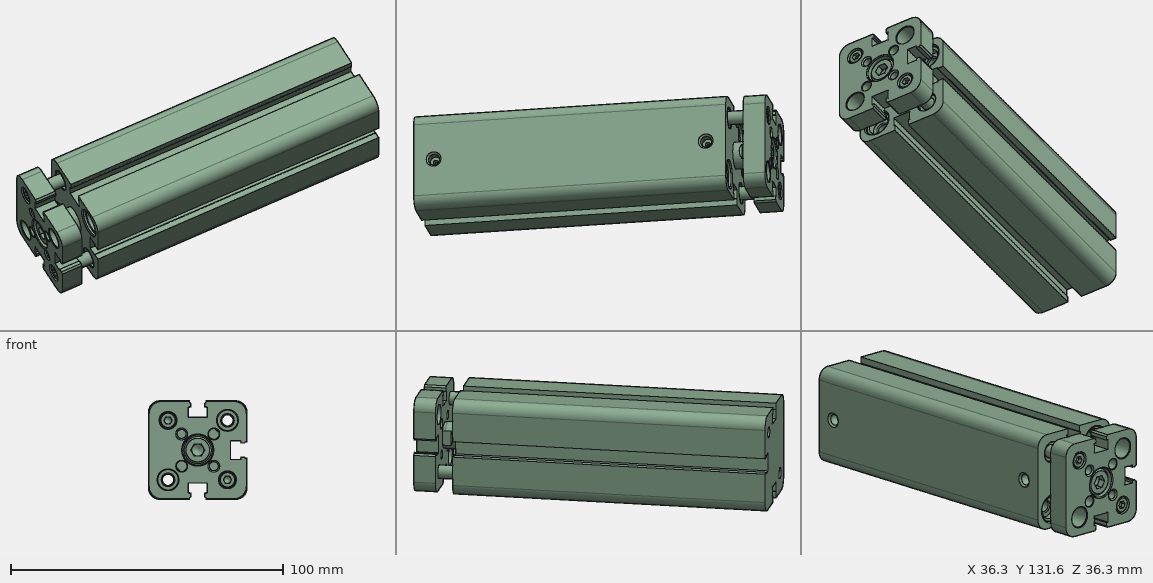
import cadquery as cq


total_length = 131.6
plate_thickness = 8.2
body_front = 14.6

body_width = 36.3
plate_width = 35.7
corner_radius = 4.3

slot_floor = 12.1
slot_inner_width = 6.8
body_mouth_width = 5.9
body_lip_depth = 2.5
plate_mouth_width = 5.1
plate_lip_depth = 2.0
plate_mouth_chamfer = 0.7
slot_angles = (0, 90, 180)

corner_offset = 10.9
rod_corners = ((-corner_offset, corner_offset), (corner_offset, -corner_offset))
bore_corners = ((corner_offset, corner_offset), (-corner_offset, -corner_offset))
guide_rod_diameter = 5.0
rod_seal_diameter = 7.5
rod_seal_rim_diameter = 8.0
rod_seal_depth = 1.3
plate_screw_recess = 6.6
plate_screw_recess_depth = 3.3
plate_screw_head = 6.0
plate_screw_head_gap = 0.4
plate_screw_chamfer = 0.4
plate_screw_hex = 2.6
plate_screw_hex_depth = 1.6
access_rim_diameter = 8.0
access_hole_diameter = 7.5
mount_rim_diameter = 10.9
mount_bore_diameter = 10.0
mount_bore_depth = 1.3
mount_socket_diameter = 8.0
mount_socket_depth = 4.0
mount_seat_diameter = 5.0
mount_hole_diameter = 4.1

tool_offset = 5.9
tool_rim_diameter = 4.3
pin_hole_diameter = 4.0
thread_hole_diameter = 3.3

centre_rim_diameter = 11.8
centre_recess = 11.0
centre_recess_depth = 5.3
centre_head = 10.0
centre_head_gap = 0.9
centre_head_chamfer = 0.7
centre_hex = 4.5
centre_hex_depth = 2.6
piston_rod_diameter = 10.0
piston_rod_flats = 8.3
piston_rod_end_diameter = 9.7
piston_rod_taper_length = 1.0
flats_length = 3.2

port_inset = 7.5
port_rim_diameter = 5.5
port_diameter = 4.1
port_depth = 4.0
port_channel_diameter = 1.7
port_channel_depth = 6.6


def cylinder(x, z, y_start, length, diameter):
    """Round bar along +Y."""
    start = cq.Vector(x, y_start, z)
    return cq.Workplane(obj=cq.Solid.makeCylinder(diameter / 2, length, start, cq.Vector(0, 1, 0)))


def cone(x, z, y_start, length, start_diameter, end_diameter):
    """Tapered bar along +Y."""
    start = cq.Vector(x, y_start, z)
    along_y = cq.Vector(0, 1, 0)
    solid = cq.Solid.makeCone(start_diameter / 2, end_diameter / 2, length, start, along_y)
    return cq.Workplane(obj=solid)


def countersunk_hole(x, z, y_start, length, diameter, rim_diameter):
    """Cutter for a hole along +Y with a 45 degree chamfer at its rim."""
    rim = (rim_diameter - diameter) / 2
    hole = cylinder(x, z, y_start, length, diameter)
    return hole.union(cone(x, z, y_start, rim, rim_diameter, diameter))


def square_block(width, y_start, length):
    """Square bar along Y with rounded long edges."""
    block = cq.Workplane("XY").box(width, length, width).edges("|Y").fillet(corner_radius)
    return block.translate((0, y_start + length / 2, 0))


def t_slot(width, mouth_width, lip_depth, mouth_chamfer, y_start, length):
    """Cutter for one T-slot in the top side of a square bar."""
    surface = width / 2
    lip = surface - lip_depth
    mouth = mouth_width / 2
    inner = slot_inner_width / 2
    half = [(inner, slot_floor), (inner, lip), (mouth, lip), (mouth, surface - mouth_chamfer)]
    if mouth_chamfer > 0:
        half.append((mouth + mouth_chamfer, surface))
    outline = half + [(-x, z) for x, z in reversed(half)]
    return cq.Workplane("XZ", origin=(0, y_start + length, 0)).polyline(outline).close().extrude(length)


def cut_slots(block, cutter):
    for angle in slot_angles:
        block = block.cut(cutter.rotate((0, 0, 0), (0, 1, 0), angle))
    return block


def socket_screw(x, z, y_face, y_base, head, chamfer, hex_size, hex_depth):
    """Screw head along Y with a chamfered rim and a hexagon socket with a conical bottom."""
    screw = cylinder(x, z, y_face + chamfer, y_base - y_face - chamfer, head)
    screw = screw.union(cone(x, z, y_face, chamfer, head - 2 * chamfer, head))
    hexagon = cq.Workplane("XZ", origin=(x, y_face, z)).transformed(rotate=(0, 0, 90))
    hexagon = hexagon.polygon(6, hex_size, circumscribed=True).extrude(-hex_depth)
    tip_height = hex_size / 4
    tip = cone(x, z, y_face + hex_depth, tip_height, hex_size, 0)
    return screw.cut(hexagon).cut(tip)


def make_body():
    length = total_length - body_front
    body = square_block(body_width, body_front, length)
    body = cut_slots(body, t_slot(body_width, body_mouth_width, body_lip_depth, 0, body_front, length))

    for x, z in bore_corners:
        socket_floor = body_front + mount_socket_depth
        hole_length = total_length - socket_floor
        body = body.cut(
            countersunk_hole(x, z, body_front, mount_bore_depth, mount_bore_diameter, mount_rim_diameter)
        )
        body = body.cut(cylinder(x, z, body_front, mount_socket_depth, mount_socket_diameter))
        body = body.cut(
            countersunk_hole(x, z, socket_floor, hole_length, mount_hole_diameter, mount_seat_diameter)
        )

    for x, z in rod_corners:
        body = body.cut(
            countersunk_hole(x, z, body_front, rod_seal_depth, rod_seal_diameter, rod_seal_rim_diameter)
        )

    for y in (body_front + port_inset, total_length - port_inset):
        body = body.cut(air_port(y))
    return body


def air_port(y):
    """Cutter for one countersunk port entering from the -X side."""
    side = -body_width / 2
    rim = (port_rim_diameter - port_diameter) / 2
    profile = [
        (0, 0),
        (port_rim_diameter / 2, 0),
        (port_diameter / 2, rim),
        (port_diameter / 2, port_depth),
        (port_channel_diameter / 2, port_depth),
        (port_channel_diameter / 2, port_channel_depth),
        (0, port_channel_depth),
    ]
    port = cq.Workplane("XY").polyline([(side + x, y + r) for r, x in profile]).close()
    return port.revolve(360, (side, y, 0), (side + 1.3, y, 0))


def make_plate():
    plate = square_block(plate_width, 0, plate_thickness)
    slot = t_slot(plate_width, plate_mouth_width, plate_lip_depth, plate_mouth_chamfer, 0, plate_thickness)
    plate = cut_slots(plate, slot)

    for x, z in bore_corners:
        plate = plate.cut(
            countersunk_hole(x, z, 0, plate_thickness, access_hole_diameter, access_rim_diameter)
        )
    for x, z in rod_corners:
        plate = plate.cut(cylinder(x, z, 0, plate_screw_recess_depth, plate_screw_recess))
        plate = plate.union(
            socket_screw(
                x, z, plate_screw_head_gap, plate_screw_recess_depth, plate_screw_head,
                plate_screw_chamfer, plate_screw_hex, plate_screw_hex_depth,
            )
        )

    for side in (-1, 1):
        offset = side * tool_offset
        pin_hole = countersunk_hole(
            offset, offset, 0, plate_thickness, pin_hole_diameter, tool_rim_diameter
        )
        thread_hole = countersunk_hole(
            offset, -offset, 0, plate_thickness, thread_hole_diameter, tool_rim_diameter
        )
        plate = plate.cut(pin_hole).cut(thread_hole)

    plate = plate.cut(
        countersunk_hole(0, 0, 0, centre_recess_depth, centre_recess, centre_rim_diameter)
    )
    return plate.union(
        socket_screw(
            0, 0, centre_head_gap, centre_recess_depth, centre_head,
            centre_head_chamfer, centre_hex, centre_hex_depth,
        )
    )


def make_piston_rod():
    """Round rod with two wrench flats facing +X and -X and a slight taper next to the plate."""
    length = body_front - plate_thickness - piston_rod_taper_length
    taper_end = plate_thickness + piston_rod_taper_length
    rod = cylinder(0, 0, taper_end, length, piston_rod_diameter)
    taper = cone(
        0, 0, plate_thickness, piston_rod_taper_length, piston_rod_end_diameter, piston_rod_diameter
    )
    rod = rod.union(taper)

    flat = piston_rod_flats / 2
    outside = piston_rod_diameter / 2
    flat_end = plate_thickness + flats_length
    profile = [
        (flat, plate_thickness),
        (outside, plate_thickness),
        (outside, flat_end + outside - flat),
        (flat, flat_end),
    ]
    cutter = cq.Workplane("XY").polyline(profile).close().extrude(outside, both=True)
    return rod.cut(cutter).cut(cutter.mirror("YZ"))


def make_guide_rod(x, z):
    """Guide rod joining the plate to the floor of its seal recess."""
    length = body_front + rod_seal_depth - plate_thickness
    return cylinder(x, z, plate_thickness, length, guide_rod_diameter)


result = make_body().union(make_plate()).union(make_piston_rod())
for rod_x, rod_z in rod_corners:
    result = result.union(make_guide_rod(rod_x, rod_z))